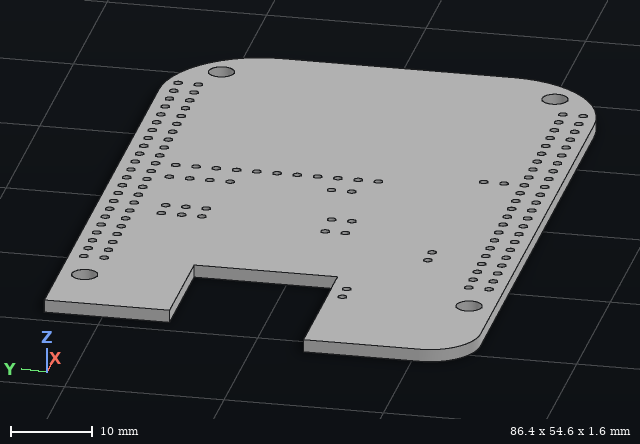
import cadquery as cq

board_length = 86.4
board_width = 54.6
board_thickness = 1.6
right_corner_radius = 12.7
left_corner_radius = 6.3

upper_arm_left = 5.7
notch_right = 20.3
notch_bottom = 20.9
notch_top = 38.9

mount_diameter = 3.2
left_mount_x = 14.6
left_mount_inset = 3.2
right_mount_x = 80.7
right_mount_inset = 6.4

pin_diameter = 1.0
header_columns = 23
header_rows = 2
header_length = 55.9
header_x = 20.3
lower_header_y = 1.9
pitch = header_length / (header_columns - 1)
wide_pitch = 1.5 * pitch
upper_header_y = board_width - lower_header_y - pitch

column_count = 11
column_x = header_x + 12 * pitch
column_top = upper_header_y - pitch
column_bottom = column_top - (column_count - 1) * pitch
side_column_x = column_x - wide_pitch
side_upper_count = 4
side_lower_count = 2
side_upper_bottom = column_top - (side_upper_count - 1) * pitch
side_lower_bottom = column_bottom + pitch

six_pin_x = header_x + 6 * pitch
six_pin_y = 41.1
four_pin_x = 34.0
four_pin_y = 22.8
notch_pair_x = 14.25
notch_pair_y = 19.0
lower_pair_x = 27.7
lower_pair_y = 11.1
upright_pair_x = header_x + 13 * pitch
upright_pair_y = 7.0


def make_board():
    """Notched plate with one small and two large rounded corners."""
    outline = [
        (0, 0),
        (board_length, 0),
        (board_length, board_width),
        (upper_arm_left, board_width),
        (upper_arm_left, notch_top),
        (notch_right, notch_top),
        (notch_right, notch_bottom),
        (0, notch_bottom),
    ]
    plate = cq.Workplane("XY").polyline(outline).close().extrude(board_thickness)
    plate = plate.edges("|Z and >X").fillet(right_corner_radius)
    lower_left_corner = cq.selectors.NearestToPointSelector((0, 0, board_thickness / 2))
    return plate.edges("|Z").edges(lower_left_corner).fillet(left_corner_radius)


def pin_grid(x, y, columns, rows, column_pitch=pitch):
    """Pin centres of a rectangular group whose lower-left pin is at (x, y)."""
    return [
        (x + column * column_pitch, y + row * pitch)
        for column in range(columns)
        for row in range(rows)
    ]


def drill(body, centres, diameter):
    """Cut through holes at the given centres."""
    drills = cq.Workplane("XY").pushPoints(centres).circle(diameter / 2).extrude(board_thickness)
    return body.cut(drills)


mount_centres = []
for mount_x, inset in ((left_mount_x, left_mount_inset), (right_mount_x, right_mount_inset)):
    mount_centres.append((mount_x, inset))
    mount_centres.append((mount_x, board_width - inset))

pin_centres = (
    pin_grid(header_x, lower_header_y, header_columns, header_rows)
    + pin_grid(header_x, upper_header_y, header_columns, header_rows)
    + pin_grid(column_x, column_bottom, 1, column_count)
    + pin_grid(side_column_x, side_upper_bottom, 1, side_upper_count)
    + pin_grid(side_column_x, side_lower_bottom, 1, side_lower_count)
    + pin_grid(six_pin_x, six_pin_y, 2, 3)
    + pin_grid(four_pin_x, four_pin_y, 2, 2, wide_pitch)
    + pin_grid(notch_pair_x, notch_pair_y, 2, 1)
    + pin_grid(lower_pair_x, lower_pair_y, 2, 1)
    + pin_grid(upright_pair_x, upright_pair_y, 1, 2)
)

result = make_board()
result = drill(result, mount_centres, mount_diameter)
result = drill(result, pin_centres, pin_diameter)